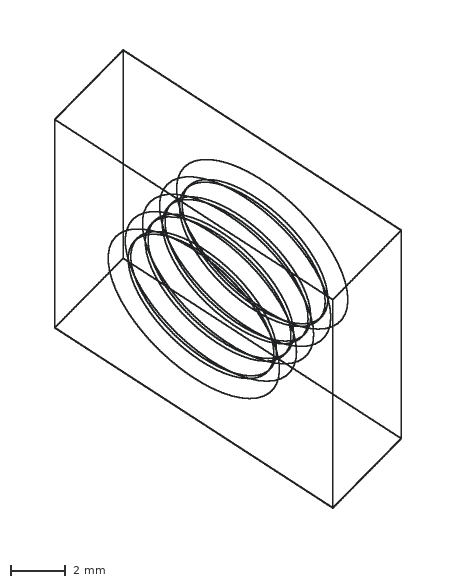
import cadquery as cq

side = 13.0
thickness = 4.0
crest_radius = 3.4
root_radius = 4.0
crest_count = 4
crest_width = 0.15

pitch = thickness / crest_count
front_y = -thickness / 2


def make_body():
    return cq.Workplane("XY").box(side, thickness, side)


def make_threaded_bore():
    """Revolve the void: sharp roots at both faces and between narrow crests."""
    points = [(0, front_y), (root_radius, front_y)]
    for index in range(crest_count):
        crest_y = front_y + (index + 0.5) * pitch
        points.append((crest_radius, crest_y - crest_width / 2))
        points.append((crest_radius, crest_y + crest_width / 2))
        points.append((root_radius, crest_y + pitch / 2))
    points.append((0, front_y + thickness))
    profile = cq.Workplane("XY").polyline(points).close()
    return profile.revolve(360, (0, 0, 0), (0, 1, 0))


result = make_body().cut(make_threaded_bore())